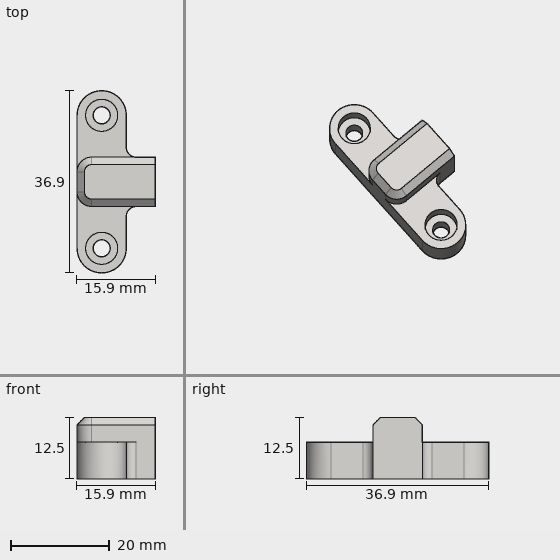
import cadquery as cq

bar_length = 36.87
bar_width = 10.0
bar_height = 7.5
part_depth = 15.85
part_height = 12.5

block_width = 10.0
block_corner_radius = 3.0
block_chamfer = 1.5
junction_fillet = 2.0

hole_spacing = bar_length - bar_width
hole_diameter = 3.4
counterbore_diameter = 6.5
counterbore_depth = 3.5


def make_bar():
    """Upright round-ended bar lying along Y, with its left side on X = 0."""
    return (
        cq.Workplane("XY")
        .center(bar_width / 2, 0)
        .slot2D(bar_length, bar_width, 90)
        .extrude(bar_height)
    )


def make_block():
    """Full-height block, rounded at the left and chamfered on top except at its right end."""
    block = (
        cq.Workplane("XY")
        .box(part_depth, block_width, part_height, centered=(False, True, False))
        .edges("|Z and <X")
        .fillet(block_corner_radius)
    )
    top_rim = block.faces(">Z").edges("not(>X)")
    return block.newObject(top_rim.vals()).chamfer(block_chamfer)


def make_junction(side):
    """Concave fillet between the bar's right side and one side of the block."""
    block_side = side * block_width / 2
    fillet_end = block_side + side * junction_fillet
    corner = (bar_width, block_side)
    center = (bar_width + junction_fillet, fillet_end)
    square = (
        cq.Workplane("XY")
        .moveTo((corner[0] + center[0]) / 2, (corner[1] + center[1]) / 2)
        .rect(junction_fillet, junction_fillet)
        .extrude(bar_height)
    )
    round_cut = cq.Workplane("XY").moveTo(*center).circle(junction_fillet).extrude(bar_height)
    return square.cut(round_cut)


def drill_holes(body):
    """Counterbored through holes, sunk from the top of the bar."""
    return (
        body.copyWorkplane(cq.Workplane("XY", origin=(bar_width / 2, 0, bar_height)))
        .pushPoints([(0, -hole_spacing / 2), (0, hole_spacing / 2)])
        .cboreHole(hole_diameter, counterbore_diameter, counterbore_depth)
    )


body = make_bar().union(make_block())
for side in (-1, 1):
    body = body.union(make_junction(side))
result = drill_holes(body)